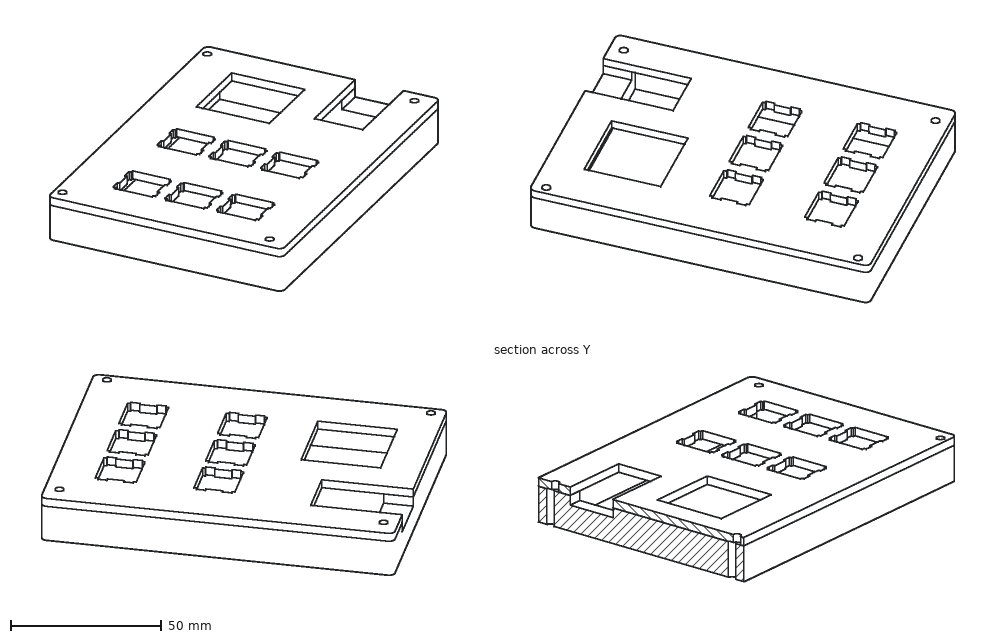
import cadquery as cq

WIDTH = 86.6
LENGTH = 120.0
HEIGHT = 16.0
CORNER_RADIUS = 2.0
PLATE_THICKNESS = 3.0
TRAY_HEIGHT = HEIGHT - PLATE_THICKNESS

WALL = 10.1
FLOOR = 3.0

SCREW_DIAMETER = 2.9
SCREW_SPACING_X = 76.5
SCREW_SPACING_Y = 110.0
PLATE_SCREW_SHIFT_X = -2.0

DISPLAY_SIZE = 27.0
DISPLAY_X = -13.5
DISPLAY_Y = 32.9

SLOT_WIDTH = 17.9
SLOT_X = 20.9
SLOT_LENGTH = 31.1
SLOT_DEPTH = 6.5

KEY_SIZE = 13.9
KEY_WIDTH_OVER_NOTCHES = 15.6
KEY_NOTCH_HEIGHT = 3.1
KEY_NOTCH_SPACING = 8.9
KEY_COLUMNS = 3
KEY_PITCH_X = 19.1
KEY_ROWS_Y = (-38.0, -4.5)


def rounded_block(height):
    """Block with the enclosure outline, standing on Z = 0."""
    block = cq.Workplane("XY").box(WIDTH, LENGTH, height, centered=(True, True, False))
    return block.edges("|Z").fillet(CORNER_RADIUS)


def screw_holes(shift_x):
    """Four cylinders through the full enclosure height."""
    return (
        cq.Workplane("XY")
        .center(shift_x, 0)
        .rect(SCREW_SPACING_X, SCREW_SPACING_Y, forConstruction=True)
        .vertices()
        .circle(SCREW_DIAMETER / 2)
        .extrude(HEIGHT)
    )


def connector_slot():
    """Cutter for the slot, from its floor up to the top of the plate."""
    return (
        cq.Workplane("XY", origin=(SLOT_X, LENGTH / 2 - SLOT_LENGTH / 2, HEIGHT - SLOT_DEPTH))
        .rect(SLOT_WIDTH, SLOT_LENGTH)
        .extrude(SLOT_DEPTH)
    )


def display_window():
    """Cutter for the square display window."""
    return cq.Workplane("XY").center(DISPLAY_X, DISPLAY_Y).rect(DISPLAY_SIZE, DISPLAY_SIZE).extrude(HEIGHT)


def key_cutout(x, y):
    """Cutter for one key switch."""
    square = cq.Workplane("XY").center(x, y).rect(KEY_SIZE, KEY_SIZE).extrude(HEIGHT)
    notches = (
        cq.Workplane("XY")
        .center(x, y)
        .rarray(1.2, KEY_NOTCH_SPACING, 1, 2)
        .rect(KEY_WIDTH_OVER_NOTCHES, KEY_NOTCH_HEIGHT)
        .extrude(HEIGHT)
    )
    return square.union(notches)


def make_tray():
    """Open-topped tray with a slotted +Y wall and screw holes through its walls."""
    cavity = (
        cq.Workplane("XY", origin=(0, 0, FLOOR))
        .rect(WIDTH - 2 * WALL, LENGTH - 2 * WALL)
        .extrude(TRAY_HEIGHT - FLOOR)
    )
    return rounded_block(TRAY_HEIGHT).cut(cavity).cut(connector_slot()).cut(screw_holes(shift_x=0))


def make_plate():
    """Top plate with the display window, connector slot, screw holes and key cutouts."""
    plate = rounded_block(PLATE_THICKNESS).translate((0, 0, TRAY_HEIGHT))
    plate = plate.cut(display_window()).cut(connector_slot()).cut(screw_holes(shift_x=PLATE_SCREW_SHIFT_X))
    for column in range(KEY_COLUMNS):
        x = (column - (KEY_COLUMNS - 1) / 2) * KEY_PITCH_X
        for y in KEY_ROWS_Y:
            plate = plate.cut(key_cutout(x, y))
    return plate


tray = make_tray()
plate = make_plate()

result = cq.Compound.makeCompound([tray.val(), plate.val()])